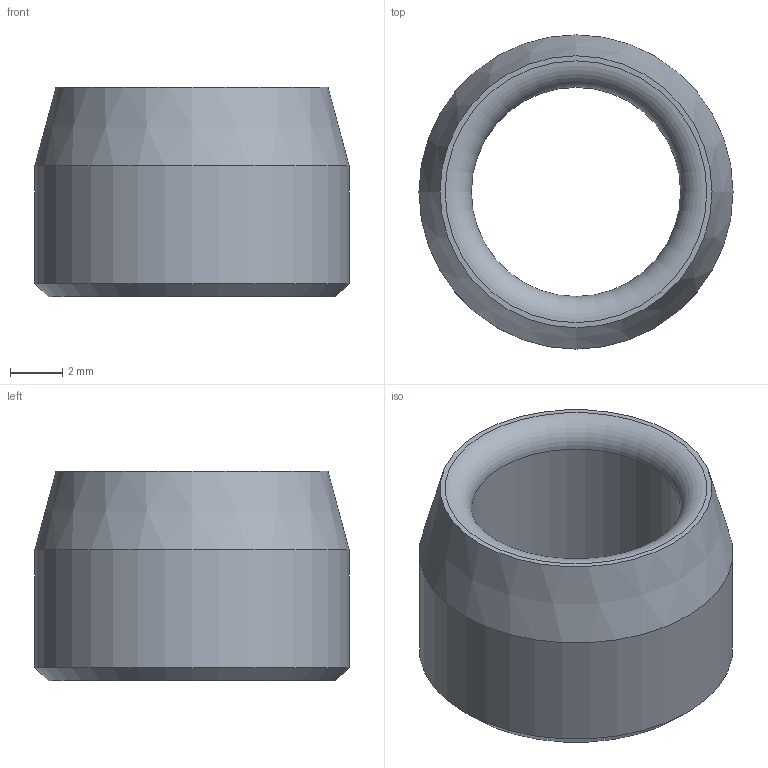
import cadquery as cq
import math

outer_diameter = 12.0
bore_diameter = 8.0
height = 8.0
taper_height = 3.0
taper_angle = 15.0
base_chamfer = 0.5
bore_entry_radius = 1.0

outer_radius = outer_diameter / 2
taper_start = height - taper_height
top_radius = outer_radius - taper_height * math.tan(math.radians(taper_angle))


def make_body():
    """Solid of revolution: chamfered base, straight wall and tapered nose."""
    profile = (
        cq.Workplane("XZ")
        .lineTo(outer_radius - base_chamfer, 0)
        .lineTo(outer_radius, base_chamfer)
        .lineTo(outer_radius, taper_start)
        .lineTo(top_radius, height)
        .lineTo(0, height)
        .close()
    )
    return profile.revolve(360, (0, 0, 0), (0, 1, 0))


def cut_bore(body):
    """Through bore with a rounded entry at the top face."""
    bored = body.faces(">Z").workplane(origin=(0, 0, height)).hole(bore_diameter)
    bore_rim = bored.faces(">Z").edges(cq.selectors.RadiusNthSelector(0))
    return bore_rim.fillet(bore_entry_radius)


result = cut_bore(make_body())